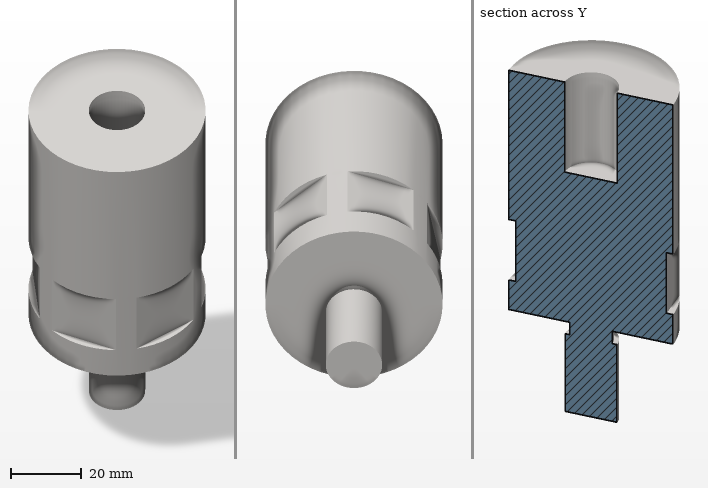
import cadquery as cq
import math

total_length = 110.0
body_length = 80.0
neck_length = 4.0
stud_length = total_length - body_length - neck_length
body_bottom = stud_length + neck_length

body_diameter = 50.0
neck_diameter = 13.0
stud_diameter = 16.0
bore_diameter = stud_diameter

bore_depth = 30.0

flat_count = 6
across_flats = 46.0
flat_height = 20.0
flat_bottom = body_bottom + 10.0


def cylinder(diameter, length, bottom):
    return cq.Workplane("XY").workplane(offset=bottom).circle(diameter / 2).extrude(length)


def wrench_flat_cutter():
    """Ring outside a hexagon that has two of its flats facing +X and -X."""
    across_corners = across_flats / math.cos(math.pi / flat_count)
    half_side_angle = 180 / flat_count
    ring_diameter = 2 * body_diameter
    hexagon = (
        cq.Workplane("XY")
        .workplane(offset=flat_bottom)
        .polygon(flat_count, across_corners)
        .extrude(flat_height)
        .rotate((0, 0, 0), (0, 0, 1), half_side_angle)
    )
    return cylinder(ring_diameter, flat_height, flat_bottom).cut(hexagon)


stud = cylinder(stud_diameter, stud_length, 0)
neck = cylinder(neck_diameter, neck_length, stud_length)
body = cylinder(body_diameter, body_length, body_bottom).cut(wrench_flat_cutter())
bore = cylinder(bore_diameter, bore_depth, total_length - bore_depth)

result = stud.union(neck).union(body).cut(bore)